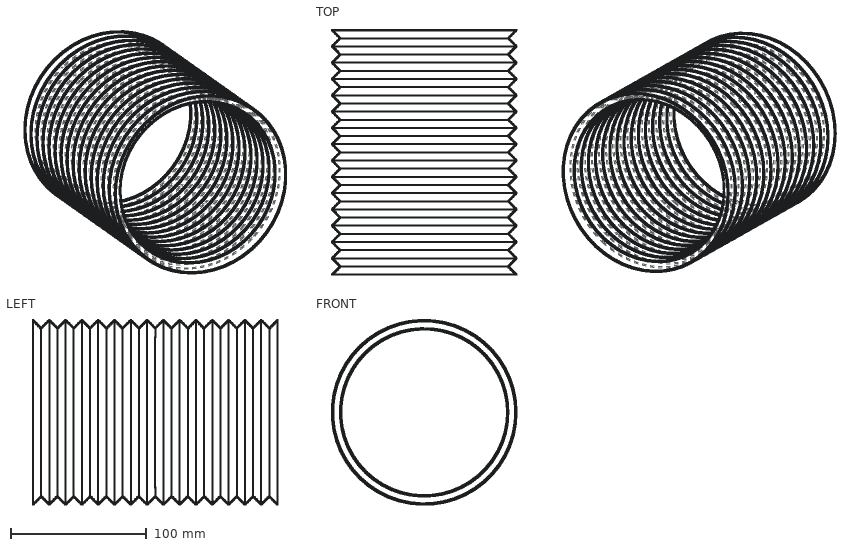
import cadquery as cq

length = 180.0
crest_radius = 68.0

fold_count = 15
radial_wall = 0.99

fold_pitch = length / fold_count
fold_depth = fold_pitch / 2
root_radius = crest_radius - fold_depth


def zigzag(crest, root):
    """Points of one wall surface in (radius, Y), running from the -Y end to the +Y end."""
    points = [(crest, -length / 2)]
    for fold in range(fold_count):
        fold_start = -length / 2 + fold * fold_pitch
        points.append((root, fold_start + fold_pitch / 2))
        points.append((crest, fold_start + fold_pitch))
    return points


outer_wall = zigzag(crest_radius, root_radius)
inner_wall = zigzag(crest_radius - radial_wall, root_radius - radial_wall)
wall_section = cq.Workplane("XY").polyline(outer_wall + inner_wall[::-1]).close()

result = wall_section.revolve(360, (0, 0, 0), (0, 1, 0))